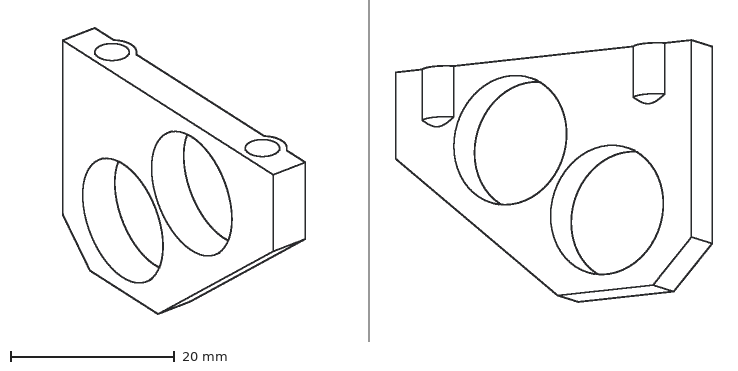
import cadquery as cq

length = 42.0
height = 30.0
thickness = 5.0
corner_chamfer = 5.45
bottom_right_x = 19.03
right_edge_height = 10.8

bore_diameter = 16.0
bore_places = [(12.0, 20.0), (25.75, 10.0)]

overall_depth = 6.0
boss_radius = overall_depth / 2
screw_y = overall_depth - boss_radius
screw_inset = 6.0
screw_diameter = 4.2
screw_depth = 6.35
screw_tip = 1.25


def make_plate():
    outline = [
        (0, corner_chamfer),
        (corner_chamfer, 0),
        (bottom_right_x, 0),
        (length, height - right_edge_height),
        (length, height),
        (0, height),
    ]
    return cq.Workplane("XZ").polyline(outline).close().extrude(-thickness)


def pointed_cylinder(x, radius, tip_height):
    """Vertical cylinder below the top face, ending in a cone."""
    profile = [
        (0, 0),
        (radius, 0),
        (radius, -screw_depth),
        (0, -screw_depth - tip_height),
    ]
    body = cq.Workplane("XZ").polyline(profile).close().revolve(360, (0, 0), (0, 1))
    return body.translate((x, screw_y, height))


def make_bore(x, drop):
    bore = cq.Workplane("XZ").center(x, height - drop)
    return bore.circle(bore_diameter / 2).extrude(-thickness)


result = make_plate()
screw_places = [screw_inset, length - screw_inset]

for screw_x in screw_places:
    result = result.union(pointed_cylinder(screw_x, boss_radius, boss_radius))

for bore_x, bore_drop in bore_places:
    result = result.cut(make_bore(bore_x, bore_drop))

for screw_x in screw_places:
    result = result.cut(pointed_cylinder(screw_x, screw_diameter / 2, screw_tip))